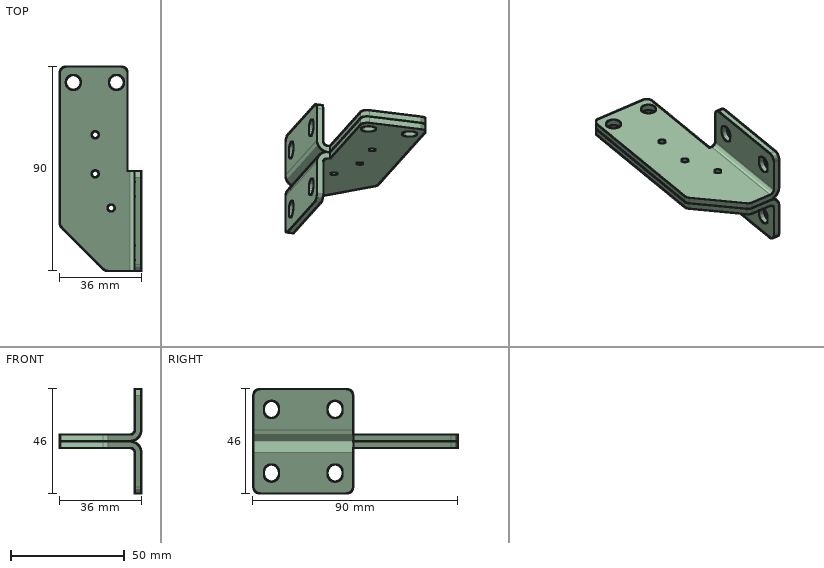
import cadquery as cq

length = 90.0
width = 36.0
height = 46.0
gap = 0.1
flange_reach = (height - gap) / 2

sheet = 3.0
bend_inner = 2.0
bend_outer = bend_inner + sheet

web_width = 30.0
corner_radius = 3.0
chamfer = 20.0

flange_length = 44.0

mount_hole_diameter = 6.5
mount_hole_xs = (6.0, 25.0)
mount_hole_y = length - 7.0
small_hole_diameter = 3.0
small_hole_points = [(15.7, 59.9), (15.7, 42.75), (22.7, 27.7)]

slot_width = 6.5
slot_height = 7.5
slot_end_margin = 8.0
slot_spacing_z = 28.0
slot_z = (slot_spacing_z - gap) / 2


def make_web():
    """Flat plate with rounded corners and one large chamfered corner."""
    plate = (
        cq.Workplane("XY")
        .polyline([
            (chamfer, 0),
            (web_width, 0),
            (web_width, length),
            (0, length),
            (0, chamfer),
        ])
        .close()
        .extrude(sheet)
    )
    plate = plate.edges("|Z and (>Y or <X)").fillet(corner_radius)
    chamfer_end = cq.selectors.NearestToPointSelector((chamfer, 0, sheet / 2))
    return plate.edges(chamfer_end).fillet(corner_radius)


def make_flange():
    """L-shaped strip: a short flat, the bend and the upright plate."""
    bend_start = width - bend_outer
    inner_face = width - sheet
    middle = 0.5 ** 0.5

    def bend_point(radius):
        return (bend_start + radius * middle, bend_outer - radius * middle)

    strip = (
        cq.Workplane("XZ")
        .moveTo(web_width, 0)
        .lineTo(bend_start, 0)
        .threePointArc(bend_point(bend_outer), (width, bend_outer))
        .lineTo(width, flange_reach)
        .lineTo(inner_face, flange_reach)
        .lineTo(inner_face, bend_outer)
        .threePointArc(bend_point(bend_inner), (bend_start, sheet))
        .lineTo(web_width, sheet)
        .close()
        .extrude(-flange_length)
    )
    return strip.edges("|X and >Z").edges("<Y or >Y").fillet(corner_radius)


def make_web_holes():
    """Cutters for the mounting holes and the small holes."""
    mount_points = [(x, mount_hole_y) for x in mount_hole_xs]
    mount_holes = cq.Workplane("XY").pushPoints(mount_points).circle(mount_hole_diameter / 2).extrude(sheet)
    small_holes = cq.Workplane("XY").pushPoints(small_hole_points).circle(small_hole_diameter / 2).extrude(sheet)
    return mount_holes.union(small_holes)


def make_flange_slots():
    """Cutters for the two upright slots near the flange ends."""
    slot_points = [(slot_end_margin, slot_z), (flange_length - slot_end_margin, slot_z)]
    return (
        cq.Workplane("YZ", origin=(width - sheet, 0, 0))
        .pushPoints(slot_points)
        .slot2D(slot_height, slot_width, 90)
        .extrude(sheet)
    )


def make_bracket():
    """One bent bracket with the underside of its web on Z = 0."""
    blank = make_web().union(make_flange())
    return blank.cut(make_web_holes()).cut(make_flange_slots())


upper_bracket = make_bracket().translate((0, 0, gap / 2))
lower_bracket = upper_bracket.mirror("XY")

result = cq.Compound.makeCompound([upper_bracket.val(), lower_bracket.val()])